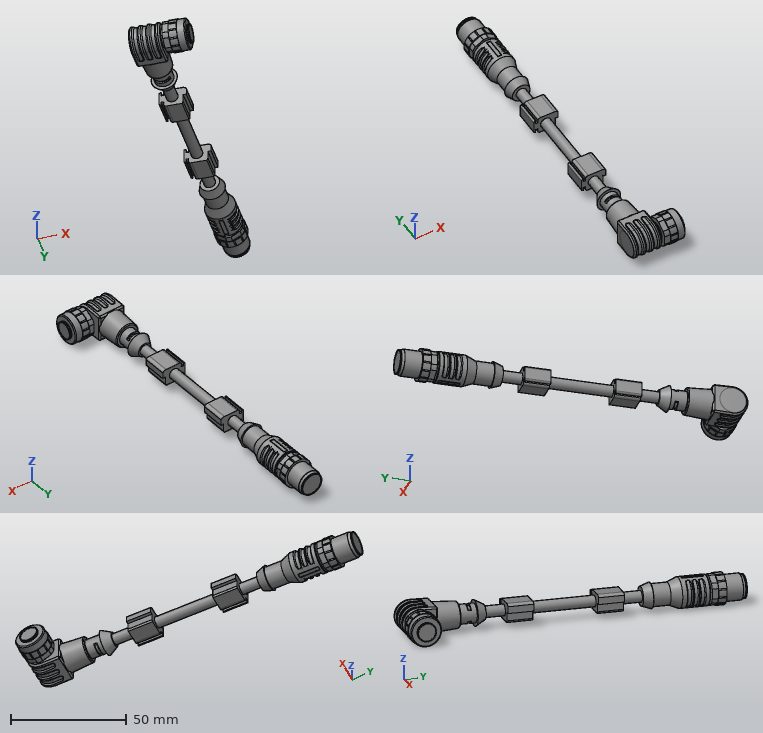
import cadquery as cq
import math


TOTAL_LENGTH = 157.1
TOTAL_WIDTH = 26.9
RING_RADIUS = 7.2
BODY_RADIUS = 14.0 / 2
NECK_RADIUS = 4.4
PLUG_TIP = TOTAL_LENGTH - RING_RADIUS
CABLE_RADIUS = 5.2 / 2
OVERLAP = 0.5

HEX_LENGTH = 2.8
HEX_ACROSS_FLATS = 13.2
RING_LENGTH = 3.8
RING_FLANGE = 0.5
RING_GROOVES = 12
RING_GROOVE_RADIUS = 0.3

TIP_RADIUS = 10.8 / 2
TIP_KNURL_LENGTH = 0.6
TIP_KNURL_GROOVES = 36
KNURL_WIDTH = 0.5
KNURL_DEPTH = 0.3
TIP_CONE_RADIUS = 5.8
THREAD_RADIUS = 6.0
THREAD_START = 1.9
PLUG_RING_START = 9.7
PLUG_GRIP_START = 17.1
PLUG_GRIP_END = 29.8
PLUG_TAIL_START = 34.5
PLUG_TAIL_RADIUS = 10.2 / 2
PLUG_COLLAR_START = 42.5
PLUG_END = 46.8
COLLAR_RADIUS = 11.8 / 2
PLUG_END_RADIUS = 4.4
GRIP_EDGE_CHAMFER = 0.3

PLUG_SLOT_CENTRE = 23.4
PLUG_SLOT_PITCH = 3.0
PLUG_SLOT_WIDTH = 2.5
PLUG_SLOT_FLOOR_WIDTH = 1.5
PLUG_SLOT_SPAN = 12.5
PLUG_SLOT_DEPTH = 0.6
MARKER_WIDTH = 1.9
MARKER_LENGTH = 9.7
MARKER_DEPTH = 0.3

CLIP_STARTS = (56.0, 97.2)
CLIP_LENGTH = 11.8
CLIP_LEFT = -6.0
CLIP_RIGHT = 6.3
CLIP_FLAT_LEFT = -2.5
CLIP_FLAT_RIGHT = 4.4
CLIP_HALF_HEIGHT = 4.4
CLIP_SHOULDER_HALF_HEIGHT = 3.5
CLIP_SHOULDER_BULGE = 0.3
CLIP_BODY_LEFT = -4.0
CLIP_LIP_BOTTOM = 0.3
CLIP_LIP_WIDTH = 1.4
CLIP_WALL_THICKNESS = 1.0
CLIP_WALL_ROUNDING = 0.8
CLIP_WEB_HALF_HEIGHT = 1.9

BOOT_TOP = 31.9
BOOT_TOP_RADIUS = 3.5
BOOT_BASE = 27.5
SLEEVE_TOP = 19.8
SLEEVE_TOP_RADIUS = 12.1 / 2
SLEEVE_BASE_RADIUS = 6.8
SLEEVE_CHAMFER = 0.5
WINDOW_Y = 24.3
WINDOW_WIDTH = 1.4
WINDOW_FLOOR_RADIUS = 3.6
WINDOW_HEIGHT = 2.5

BLOCK_BACK = 9.0
BLOCK_BACK_HALF_HEIGHT = 6.8
BLOCK_CHAMFER = 0.8
DOME_RADIUS = 6.0
DOME_HEIGHT = 0.2
BLOCK_SLOT_PITCH = 4.0
BLOCK_SLOT_WIDTH = 3.0
BLOCK_SLOT_FLOOR_WIDTH = 1.5
BLOCK_SLOT_TOP = 5.0
BLOCK_SLOT_DEPTH = 0.55

SOCKET_HEX_START = 8.2
SOCKET_FACE = 18.5
SOCKET_CHAMFER = 0.5
INSERT_END = TOTAL_WIDTH - RING_RADIUS
INSERT_RADIUS = 4.2
INSERT_KNURL_GROOVES = 24


def turned_y(*profile):
    """Solid of revolution about Y from (y, radius) pairs."""
    points = [(0, profile[0][0])]
    points += [(radius, y) for y, radius in profile]
    points += [(0, profile[-1][0])]
    return cq.Workplane("XY").polyline(points).close().revolve(360, (0, 0), (0, 1))


def along_x(solid):
    """Turn a solid built along Y so that it lies along X."""
    return solid.rotate((0, 0, 0), (0, 0, 1), -90)


def disc(y_start, length, radius):
    """Cylinder along +Y."""
    return turned_y((y_start, radius), (y_start + length, radius))


def ring_of(tool, count, first_angle=0):
    """Copies of a tool spaced evenly around Y."""
    copies = cq.Workplane("XY")
    for index in range(count):
        angle = first_angle + index * 360 / count
        copies = copies.add(tool.rotate((0, 0, 0), (0, 1, 0), angle))
    return copies.combine()


def row_of_three(tool, step):
    """A tool and one copy on either side of it."""
    backward = tuple(-component for component in step)
    return tool.union(tool.translate(step)).union(tool.translate(backward))


def coupling(hex_start):
    """Hexagon followed by a grooved ring, running along +Y; two flats face +X and -X."""
    hex_rough_diameter = HEX_ACROSS_FLATS / math.cos(math.pi / 6)
    hexagon = (
        cq.Workplane("XZ", origin=(0, hex_start, 0))
        .transformed(rotate=(0, 0, 30))
        .polygon(6, hex_rough_diameter)
        .extrude(-HEX_LENGTH)
        .intersect(disc(hex_start, HEX_LENGTH, BODY_RADIUS))
    )
    ring_start = hex_start + HEX_LENGTH
    groove = (
        cq.Workplane("XZ", origin=(0, ring_start, 0))
        .center(0, RING_RADIUS)
        .circle(RING_GROOVE_RADIUS)
        .extrude(RING_FLANGE - RING_LENGTH)
    )
    half_pitch = 180 / RING_GROOVES
    ring = disc(ring_start, RING_LENGTH, RING_RADIUS).cut(ring_of(groove, RING_GROOVES, half_pitch))
    return hexagon.union(ring)


def knurled_disc(y_start, length, radius, groove_count):
    """Disc along +Y with fine axial grooves on its rim."""
    groove = cq.Workplane("XY").box(KNURL_WIDTH, length, 2 * KNURL_DEPTH)
    groove = groove.translate((0, y_start + length / 2, radius))
    return disc(y_start, length, radius).cut(ring_of(groove, groove_count))


def plug_turning():
    """Turned body of the plug, from the base of the tip knurl to the cable outlet."""
    return turned_y(
        (PLUG_TIP - TIP_KNURL_LENGTH, TIP_RADIUS),
        (PLUG_TIP - THREAD_START, TIP_CONE_RADIUS),
        (PLUG_TIP - THREAD_START, THREAD_RADIUS),
        (PLUG_TIP - PLUG_RING_START - OVERLAP, THREAD_RADIUS),
        (PLUG_TIP - PLUG_RING_START - OVERLAP, NECK_RADIUS),
        (PLUG_TIP - PLUG_GRIP_START, NECK_RADIUS),
        (PLUG_TIP - PLUG_GRIP_START, BODY_RADIUS - GRIP_EDGE_CHAMFER),
        (PLUG_TIP - PLUG_GRIP_START - GRIP_EDGE_CHAMFER, BODY_RADIUS),
        (PLUG_TIP - PLUG_GRIP_END, BODY_RADIUS),
        (PLUG_TIP - PLUG_TAIL_START, PLUG_TAIL_RADIUS),
        (PLUG_TIP - PLUG_COLLAR_START, PLUG_TAIL_RADIUS),
        (PLUG_TIP - PLUG_COLLAR_START, COLLAR_RADIUS),
        (PLUG_TIP - PLUG_END, PLUG_END_RADIUS),
    )


def slot_section(depth, width, floor_width):
    """Corners (position along the grip, radius) of a slot with sloping walls.

    The walls carry on above the grip surface by the slot depth.
    """
    half_floor = floor_width / 2
    half_rim = width - half_floor
    return (
        (-half_floor, BODY_RADIUS - depth),
        (half_floor, BODY_RADIUS - depth),
        (half_rim, BODY_RADIUS + depth),
        (-half_rim, BODY_RADIUS + depth),
    )


def plug_grip_slots():
    """Three round-ended finger slots on each X side of the plug grip."""
    section = slot_section(PLUG_SLOT_DEPTH, PLUG_SLOT_WIDTH, PLUG_SLOT_FLOOR_WIDTH)
    points = [(radius, position) for position, radius in section]
    groove = cq.Workplane("XY").polyline(points).close().revolve(360, (0, 0), (0, 1))
    rounded = cq.Workplane("YZ").slot2D(PLUG_SLOT_SPAN, PLUG_SLOT_WIDTH, 90)
    slot = groove.intersect(rounded.extrude(2 * BODY_RADIUS, both=True))
    return row_of_three(slot, (0, PLUG_SLOT_PITCH, 0)).translate((0, PLUG_TIP - PLUG_SLOT_CENTRE, 0))


def plug_marker_recess():
    """Shallow rectangular recesses on the top and bottom of the plug grip."""
    diameter = 2 * BODY_RADIUS
    marker = cq.Workplane("XY").box(MARKER_WIDTH, MARKER_LENGTH, diameter)
    gap = cq.Workplane("XY").box(MARKER_WIDTH, MARKER_LENGTH, diameter - 2 * MARKER_DEPTH)
    return marker.cut(gap).translate((0, PLUG_TIP - PLUG_SLOT_CENTRE, 0))


def plug():
    """Straight plug with its coupling nut and knurled tip."""
    hex_start = PLUG_TIP - PLUG_RING_START - RING_LENGTH - HEX_LENGTH
    tip = knurled_disc(PLUG_TIP - TIP_KNURL_LENGTH, TIP_KNURL_LENGTH, TIP_RADIUS, TIP_KNURL_GROOVES)
    body = plug_turning().cut(plug_grip_slots()).cut(plug_marker_recess())
    return body.union(coupling(hex_start)).union(tip)


def label_clip(distance_from_tip):
    """Clip with rounded shoulders, an outer wall on the left and a lip on the upper right."""
    clip_end = PLUG_TIP - distance_from_tip
    half_height = CLIP_HALF_HEIGHT
    shoulder = CLIP_SHOULDER_HALF_HEIGHT
    lip_root = CLIP_RIGHT - CLIP_LIP_WIDTH
    body = (
        cq.Workplane("XZ", origin=(0, clip_end, 0))
        .moveTo(CLIP_BODY_LEFT, -shoulder)
        .lineTo(CLIP_BODY_LEFT, shoulder)
        .sagittaArc((CLIP_FLAT_LEFT, half_height), CLIP_SHOULDER_BULGE)
        .lineTo(CLIP_FLAT_RIGHT, half_height)
        .sagittaArc((CLIP_RIGHT, shoulder), CLIP_SHOULDER_BULGE)
        .lineTo(CLIP_RIGHT, CLIP_LIP_BOTTOM)
        .lineTo(lip_root, CLIP_LIP_BOTTOM)
        .lineTo(lip_root, -shoulder)
        .lineTo(CLIP_FLAT_RIGHT, -half_height)
        .lineTo(CLIP_FLAT_LEFT, -half_height)
        .sagittaArc((CLIP_BODY_LEFT, -shoulder), CLIP_SHOULDER_BULGE)
        .close()
        .extrude(CLIP_LENGTH)
    )
    centre_y = clip_end - CLIP_LENGTH / 2
    wall = (
        cq.Workplane("XY", origin=(CLIP_LEFT + CLIP_WALL_THICKNESS / 2, centre_y, 0))
        .box(CLIP_WALL_THICKNESS, CLIP_LENGTH, 2 * shoulder)
        .edges("|Y and <X")
        .fillet(CLIP_WALL_ROUNDING)
    )
    web_width = CLIP_FLAT_LEFT - CLIP_LEFT - CLIP_WALL_THICKNESS / 2
    web = (
        cq.Workplane("XY", origin=(CLIP_FLAT_LEFT - web_width / 2, centre_y, 0))
        .box(web_width, CLIP_LENGTH, 2 * CLIP_WEB_HALF_HEIGHT)
    )
    return body.union(wall).union(web)


def elbow_boot():
    """Flared boot, windowed neck and tapered sleeve leading into the elbow block."""
    boot = turned_y(
        (BOOT_TOP, BOOT_TOP_RADIUS),
        (BOOT_BASE, COLLAR_RADIUS),
        (BOOT_BASE, NECK_RADIUS),
        (SLEEVE_TOP, NECK_RADIUS),
        (SLEEVE_TOP, SLEEVE_TOP_RADIUS - SLEEVE_CHAMFER),
        (SLEEVE_TOP - SLEEVE_CHAMFER, SLEEVE_TOP_RADIUS),
        (BLOCK_BACK - OVERLAP, SLEEVE_BASE_RADIUS),
    )
    window_start = WINDOW_Y - WINDOW_WIDTH / 2
    width = 2 * COLLAR_RADIUS
    solid_middle = cq.Workplane("XY").box(width, width, 2 * WINDOW_HEIGHT).translate((0, WINDOW_Y, 0))
    windows = (
        disc(window_start, WINDOW_WIDTH, COLLAR_RADIUS)
        .cut(disc(window_start, WINDOW_WIDTH, WINDOW_FLOOR_RADIUS))
        .cut(solid_middle)
    )
    return boot.cut(windows)


def elbow_slots():
    """Three finger slots that wrap around the front of the elbow block, round-ended at the back."""
    section = slot_section(BLOCK_SLOT_DEPTH, BLOCK_SLOT_WIDTH, BLOCK_SLOT_FLOOR_WIDTH)
    upper = cq.Workplane("XZ").polyline(section).close().extrude(-BLOCK_SLOT_TOP)
    bend = cq.Workplane("XZ").polyline(section).close().revolve(180, (0, 0), (1, 0))
    groove = bend.union(upper).union(upper.mirror("XY"))
    length = BLOCK_SLOT_TOP + 2 * BODY_RADIUS
    rounded = (
        cq.Workplane("XY", origin=(0, BLOCK_SLOT_TOP - length / 2, 0))
        .slot2D(length, BLOCK_SLOT_WIDTH, 90)
        .extrude(2 * BODY_RADIUS, both=True)
    )
    return row_of_three(groove.intersect(rounded), (BLOCK_SLOT_PITCH, 0, 0))


def elbow_dome():
    """Shallow spherical bulge on the closed -X side of the elbow block."""
    sphere_radius = (DOME_RADIUS**2 + DOME_HEIGHT**2) / (2 * DOME_HEIGHT)
    return (
        cq.Workplane("XY")
        .moveTo(-BODY_RADIUS + OVERLAP, 0)
        .lineTo(-BODY_RADIUS + OVERLAP, DOME_RADIUS)
        .lineTo(-BODY_RADIUS, DOME_RADIUS)
        .radiusArc((-BODY_RADIUS - DOME_HEIGHT, 0), -sphere_radius)
        .close()
        .revolve(360, (0, 0), (1, 0))
    )


def elbow_block():
    """Block with a half-round front and nearly parallel sides, slotted for grip."""
    block = (
        cq.Workplane("YZ")
        .moveTo(BLOCK_BACK, BLOCK_BACK_HALF_HEIGHT)
        .lineTo(0, BODY_RADIUS)
        .threePointArc((-BODY_RADIUS, 0), (0, -BODY_RADIUS))
        .lineTo(BLOCK_BACK, -BLOCK_BACK_HALF_HEIGHT)
        .close()
        .extrude(BODY_RADIUS, both=True)
    )
    block = block.faces("<X or >X or >Y").edges().chamfer(BLOCK_CHAMFER)
    return block.cut(elbow_slots())


def elbow_coupling():
    """Neck, coupling nut and contact insert along +X."""
    ring_end = SOCKET_HEX_START + HEX_LENGTH + RING_LENGTH
    core = turned_y(
        (0, NECK_RADIUS),
        (ring_end - OVERLAP, NECK_RADIUS),
        (ring_end - OVERLAP, BODY_RADIUS),
        (SOCKET_FACE - SOCKET_CHAMFER, BODY_RADIUS),
        (SOCKET_FACE, BODY_RADIUS - SOCKET_CHAMFER),
    )
    insert_length = INSERT_END - SOCKET_FACE
    insert = knurled_disc(SOCKET_FACE, insert_length, INSERT_RADIUS, INSERT_KNURL_GROOVES)
    return along_x(core.union(coupling(SOCKET_HEX_START)).union(insert))


cable = disc(0, PLUG_TIP - PLUG_END + OVERLAP, CABLE_RADIUS)

result = plug().union(cable)
for start in CLIP_STARTS:
    result = result.union(label_clip(start))
result = result.union(elbow_boot()).union(elbow_block()).union(elbow_dome()).union(elbow_coupling())